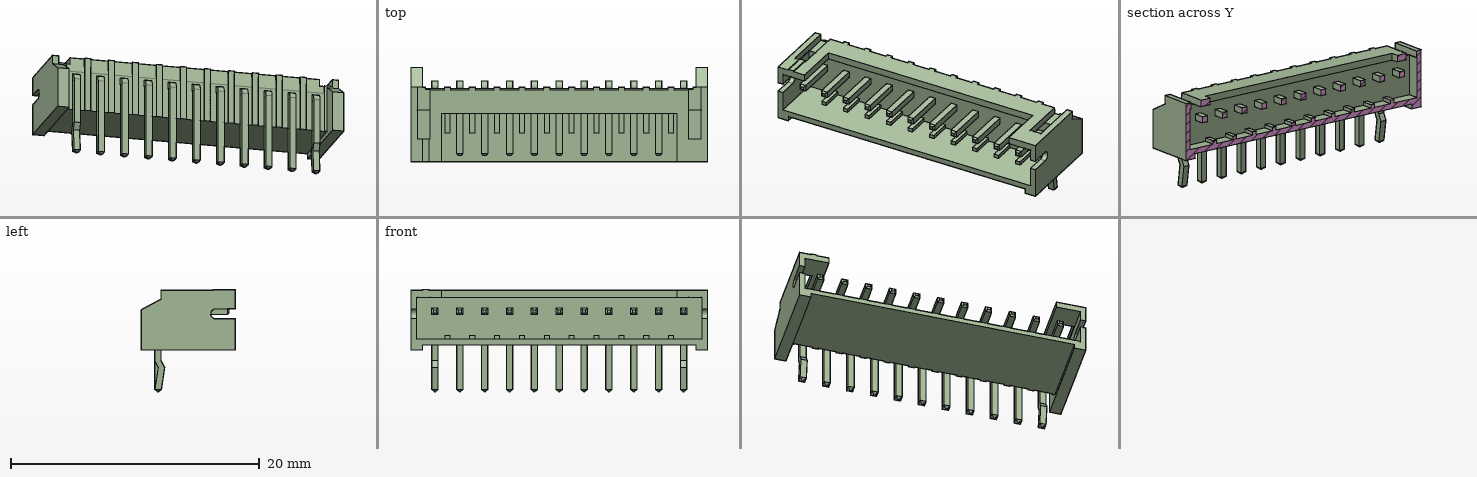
import cadquery as cq


length = 23.9
body_height = 4.83
body_depth = 6.0
overall_depth = 7.6
foot_height = 0.4
foot_width = 0.95
half_length = length / 2

side_wall = 0.45
cavity_floor = 0.88
cavity_top = 4.25
cavity_depth = 4.18
window_inset = 2.45
window_depth = 3.87

end_block_width = 1.17
rear_setback = 0.1
draft_setback = 0.25
draft_bottom = 3.63
tab_width = 0.5

leg_slope_low = 3.25
leg_slope_high = 4.1

slot_inset = 0.53
slot_width = 1.0
slot_front = 1.82
mark_width = 0.5
mark_height = 0.07
notch_bottom = 2.53
notch_height = 0.8
notch_depth = 1.98

pin_count = 11
row_length = 20.0
pitch = row_length / (pin_count - 1)
pin_size = 0.53
pin_axis_z = 3.13
pin_tip_y = 0.5
pin_tip_length = 0.15
pin_tip_flat = 0.25
bend_radius = 0.55
tail_rear_y = 6.5
tail_bottom = -3.35
tail_tip_length = 0.2
tail_tip_flat = 0.05
tail_shoulder = tail_bottom + tail_tip_length
tail_front_y = tail_rear_y - pin_size

kink_start = -0.84
kink_peak = -1.4
kink_offset = 0.29
kink_end_offset = 0.02

rib_width = 0.4
rib_height = 0.29
rib_front = 2.3

pin_positions = [-row_length / 2 + i * pitch for i in range(pin_count)]
gap_positions = [x + pitch / 2 for x in pin_positions[:-1]]


def box(x_range, y_range, z_range):
    """Box between the given (low, high) limits."""
    low, high = zip(x_range, y_range, z_range)
    sizes = [b - a for a, b in zip(low, high)]
    return cq.Workplane("XY").box(*sizes, centered=False).translate(low)


def centred_range(centre, width):
    """Low and high limits of a width centred on a position."""
    return (centre - width / 2, centre + width / 2)


def extrude_along_x(points, centre, width):
    """Extrude a closed (y, z) outline by width, centred on an X position."""
    outline = cq.Workplane("YZ", origin=(centre, 0, 0)).polyline(points).close()
    return outline.extrude(width / 2, both=True)


def main_block():
    """Full-length block with the recessed, drafted rear wall."""
    rear = body_depth - rear_setback
    profile = [
        (0, foot_height),
        (rear, foot_height),
        (rear, draft_bottom),
        (body_depth - draft_setback, body_height),
        (0, body_height),
    ]
    return extrude_along_x(profile, 0, length)


def housing_end(side):
    """Square end block with the foot and rear leg beneath and behind it."""
    block_centre = side * (half_length - end_block_width / 2)
    block_x = centred_range(block_centre, end_block_width)
    block = box(block_x, (0, body_depth), (foot_height, body_height))
    profile = [
        (0, 0),
        (overall_depth, 0),
        (overall_depth, leg_slope_low),
        (body_depth, leg_slope_high),
        (body_depth, body_height),
        (0, body_height),
    ]
    return block.union(extrude_along_x(profile, side * (half_length - foot_width / 2), foot_width))


def cavity():
    """Mating cavity, open at the front, with the window through its roof."""
    half_width = half_length - side_wall
    shroud = box((-half_width, half_width), (0, cavity_depth), (cavity_floor, cavity_top))
    half_window = half_length - window_inset
    window = box((-half_window, half_window), (0, window_depth), (cavity_top, body_height))
    return shroud.union(window)


def roof_slot(side):
    """Slot through the roof, open at the rear."""
    centre = side * (half_length - slot_inset - slot_width / 2)
    x_range = centred_range(centre, slot_width)
    return box(x_range, (slot_front, overall_depth), (cavity_top, body_height))


def side_notch(side):
    """Round-ended notch running back from the mating face through one side wall."""
    radius = notch_height / 2
    straight = notch_depth - radius
    notch_top = notch_bottom + notch_height
    return (
        cq.Workplane("YZ", origin=(side * (half_length - side_wall / 2), 0, 0))
        .moveTo(0, notch_bottom)
        .lineTo(straight, notch_bottom)
        .threePointArc((notch_depth, notch_bottom + radius), (straight, notch_top))
        .lineTo(0, notch_top)
        .close()
        .extrude(side_wall / 2, both=True)
    )


def rear_tab(x):
    """Narrow upright tab that fills the rear recess out to the body depth."""
    rear_range = (cavity_depth, body_depth)
    return box(centred_range(x, tab_width), rear_range, (foot_height, body_height))


def floor_rib(x):
    """Low rib running forward along the cavity floor from its back wall."""
    z_range = (cavity_floor, cavity_floor + rib_height)
    return box(centred_range(x, rib_width), (rib_front, cavity_depth), z_range)


def pin_one_mark():
    """Thin raised pad on the roof beside pin 1."""
    start = -half_length + foot_width
    return box((start, start + mark_width), (0, slot_front), (body_height, body_height + mark_height))


def tapered_tip(plane, origin, tip_length, tip_flat):
    """Square tip narrowing from the pin section to a small flat."""
    base = cq.Workplane(plane, origin=origin).rect(pin_size, pin_size)
    return base.workplane(offset=tip_length).rect(tip_flat, tip_flat).loft()


def pin(x, kinked):
    """Pin with a horizontal arm, a bend rounded on the outside and a tail reaching down."""
    shoulder_y = pin_tip_y + pin_tip_length
    top = pin_axis_z + pin_size / 2
    bottom = top - pin_size

    arm = box(centred_range(x, pin_size), (shoulder_y, tail_rear_y), (bottom, top))
    arm_tip = tapered_tip("XZ", (x, shoulder_y, pin_axis_z), pin_tip_length, pin_tip_flat)

    path = [(bottom, 0)]
    if kinked:
        path += [(kink_start, 0), (kink_peak, kink_offset), (tail_shoulder, kink_end_offset)]
    else:
        path += [(tail_shoulder, 0)]
    rear_side = [(tail_rear_y - offset, z) for z, offset in path]
    front_side = [(tail_front_y - offset, z) for z, offset in path]
    tail = extrude_along_x(rear_side + front_side[::-1], x, pin_size)

    outer_corner = cq.selectors.NearestToPointSelector((x, tail_rear_y, top))
    bent_pin = arm.union(tail).edges(outer_corner).fillet(bend_radius)

    end_offset = path[-1][1]
    tail_axis_y = tail_rear_y - pin_size / 2 - end_offset
    tail_tip = tapered_tip("XY", (x, tail_axis_y, tail_shoulder), -tail_tip_length, tail_tip_flat)
    return bent_pin.union(arm_tip).union(tail_tip)


result = main_block()
for side in (-1, 1):
    result = result.union(housing_end(side))
for x in gap_positions:
    result = result.union(rear_tab(x))

result = result.cut(cavity())
for side in (-1, 1):
    result = result.cut(roof_slot(side)).cut(side_notch(side))

result = result.union(pin_one_mark())
for x in gap_positions:
    result = result.union(floor_rib(x))
end_pins = (pin_positions[0], pin_positions[-1])
for x in pin_positions:
    result = result.union(pin(x, kinked=x in end_pins))